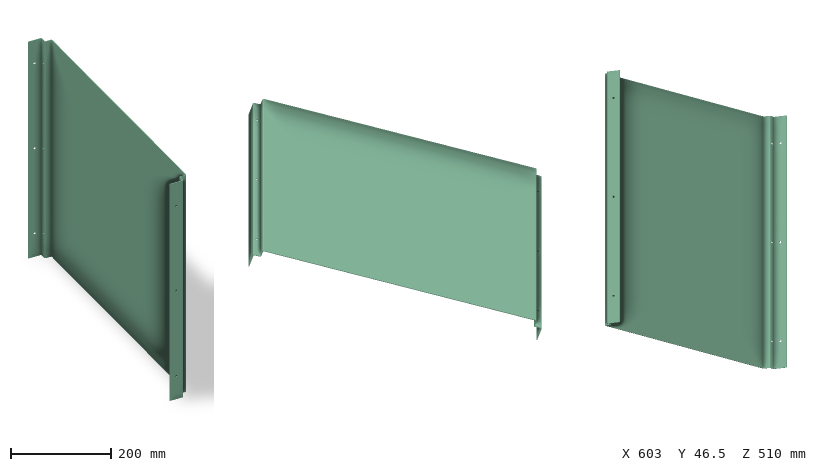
import cadquery as cq

width = 603.0
depth = 46.5
height = 510.0

sheet = 1.5
inner_radius = 1.5
outer_radius = inner_radius + sheet

ledge_width = 15.0
step_depth = 15.0

hole_pitch = 200.0
hole_diameter = 5.0
slot_length = 5.5
slot_width = 3.5
ledge_hole_inset = 8.0
flange_hole_inset = 15.0

back = depth / 2
front = -depth / 2
ledge_back = back - step_depth
flange_outer = width / 2
step_outer = flange_outer - ledge_width


def sharp_section(inset):
    """Closed section whose upper boundary lies inset below the outer sheet skin."""
    half = [
        (flange_outer - inset, front),
        (flange_outer - inset, ledge_back - inset),
        (step_outer - inset, ledge_back - inset),
        (step_outer - inset, back - inset),
    ]
    mirrored = [(-x, y) for x, y in reversed(half)]
    return cq.Workplane("XY").polyline(half + mirrored).close().extrude(height)


def rounded_section(inset, convex_radius, concave_radius):
    """Solid below one skin of the sheet, with all its bends rounded."""
    body = sharp_section(inset)
    for side in (-1, 1):
        convex = [
            (side * (flange_outer - inset), ledge_back - inset),
            (side * (step_outer - inset), back - inset),
        ]
        for x, y in convex:
            body = body.edges(cq.NearestToPointSelector((x, y, height / 2))).fillet(convex_radius)
        concave = (side * (step_outer - inset), ledge_back - inset, height / 2)
        body = body.edges(cq.NearestToPointSelector(concave)).fillet(concave_radius)
    return body.translate((0, 0, -height / 2))


def hole_row(plane, across):
    """Cutter for one vertical row: slot, round hole, slot, at the given offset across the plane."""
    slots = (
        cq.Workplane(plane)
        .pushPoints([(across, -hole_pitch), (across, hole_pitch)])
        .slot2D(slot_length, slot_width)
        .extrude(width, both=True)
    )
    middle = cq.Workplane(plane).center(across, 0).circle(hole_diameter / 2).extrude(width, both=True)
    return slots.union(middle)


outer_body = rounded_section(0, outer_radius, inner_radius)
inner_body = rounded_section(sheet, inner_radius, outer_radius)
result = outer_body.cut(inner_body)

for side in (-1, 1):
    result = result.cut(hole_row("XZ", side * (flange_outer - ledge_hole_inset)))

result = result.cut(hole_row("YZ", front + flange_hole_inset))